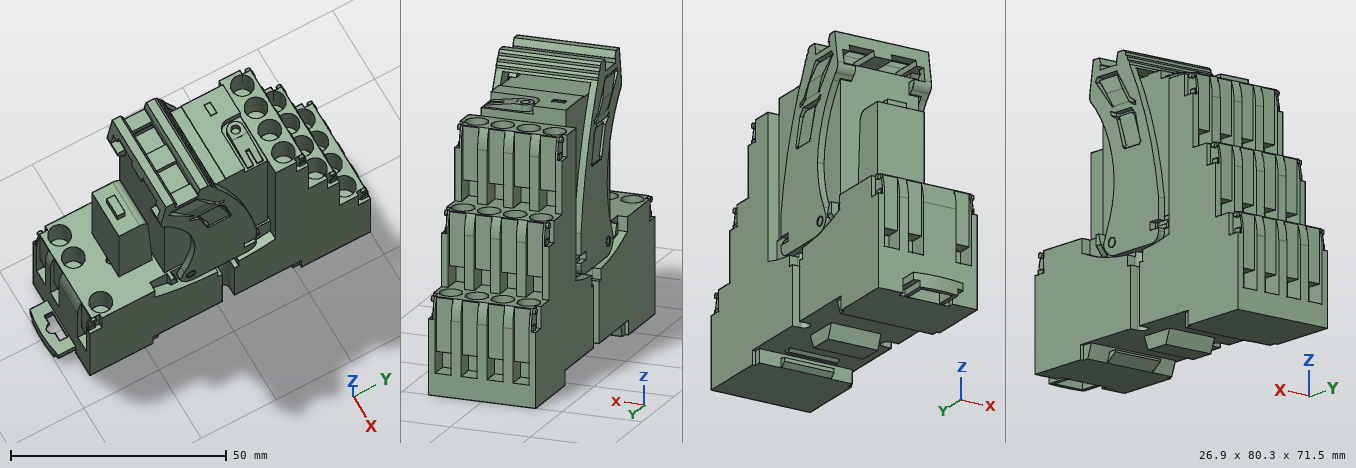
import cadquery as cq


WIDTH = 26.9
HALF_WIDTH = WIDTH / 2
LENGTH = 74.85
DECK_Z = 29.1
TIER_RISE = 18.45
TIER_RUN = 8.3
LOW_TIER_TOP = 24.0
TIER_TOPS = [LOW_TIER_TOP + i * TIER_RISE for i in range(3)]
TIER_FACES = [LENGTH - i * TIER_RUN for i in range(3)]
TOWER_FRONT = 49.5
BRIDGE_TOP = 35.45
BRIDGE_HALF = 8.0
ROUND_INSET = 1.05
ROUND_HEIGHT = 5.1

RAIL_Z = 3.6
RAIL_FRONT = 16.85
RAIL_REAR = 56.4
FOOT_WIDTH = 13.5
TAB_OPENING = 1.6
BLOCK_HALF = 12.6

PITCH = 6.5
TERMINAL_X = [(i - 1.5) * PITCH for i in range(4)]
FRONT_TERMINAL_X = [TERMINAL_X[0], TERMINAL_X[1], TERMINAL_X[3]]
SCREW_DIAMETER = 5.45
SCREW_DEPTH = 8.0
FRONT_SCREW_INSET = 5.0
TIER_SCREW_INSETS = [5.0, 4.4, 4.65]
SLOT_WIDTH = 4.1
SLOT_DEPTH = 1.2
ENTRY_HEIGHT = 5.05
ENTRY_DEPTH = 6.0

LATCH_X = 1.1
LATCH_Y = 4.0
LATCH_Z = 5.4
LATCH_RELIEF = 0.4

CLIP_HALF = 12.75
CLIP_INNER = 11.0
CLIP_BOTTOM = 22.8
ARM_REAR = 44.8
BAR_Z = 67.0
WEB_Z = 68.5
CLIP_TOP = 71.5
GRIP_STEPS = 3
LUG_Z = (26.1, 28.1)
HOOK_INNER = 7.95
HOOK_BOTTOM = 60.1
HOOK_TOP = 63.2

ROD_X = HALF_WIDTH - 2.1
ROD_Y = 36.9
ROD_RADIUS = 1.6
COLLAR_RADIUS = 2.8
COLLAR_Z = 18.9

RELAY_X = -0.1
RELAY_WIDTH = 21.2
RELAY_FRONT = 21.5
RELAY_REAR = 49.0
RELAY_TOP = 64.7
RELAY_STEP = 0.3
RELAY_STEP_Y = 37.9


def box(x, y, z):
    """Block from (min, max) pairs along each axis."""
    size = [pair[1] - pair[0] for pair in (x, y, z)]
    return cq.Workplane("XY").box(*size, centered=False).translate((x[0], y[0], z[0]))


def across(sketch, x_min, x_max):
    """Extrude a closed Y-Z outline between two X positions."""
    return sketch.extrude(x_max - x_min).translate((x_min, 0, 0))


def plate(points, x_min, x_max):
    """Extrude a Y-Z polygon between two X positions."""
    return across(cq.Workplane("YZ").polyline(points).close(), x_min, x_max)


def rod_x(y, z, radius, x_min, x_max):
    """Cylinder along X."""
    return across(cq.Workplane("YZ").center(y, z).circle(radius), x_min, x_max)


def rod_z(x, y, radius, z_min, z_max):
    """Cylinder along Z."""
    return cq.Workplane("XY").center(x, y).circle(radius).extrude(z_max - z_min).translate((0, 0, z_min))


def both_sides(body):
    """A body together with its mirror image across the middle plane."""
    return body.union(body.mirror("YZ"))


def shoulder_middle(face, inward, top):
    """Point part way round the shoulder between a terminal face and its top."""
    return face + inward * ROUND_INSET * 0.35, top - ROUND_HEIGHT * 0.4


def housing_block():
    """Stepped body, with a rounded shoulder above every terminal face."""
    outline = cq.Workplane("YZ").moveTo(0, 0).lineTo(0, DECK_Z - ROUND_HEIGHT)
    outline = outline.threePointArc(shoulder_middle(0, 1, DECK_Z), (ROUND_INSET, DECK_Z))
    outline = outline.lineTo(TOWER_FRONT, DECK_Z).lineTo(TOWER_FRONT, TIER_TOPS[-1])
    for face, top in zip(reversed(TIER_FACES), reversed(TIER_TOPS)):
        outline = outline.lineTo(face - ROUND_INSET, top)
        outline = outline.threePointArc(shoulder_middle(face, -1, top), (face, top - ROUND_HEIGHT))
        if top > TIER_TOPS[0]:
            outline = outline.lineTo(face, top - TIER_RISE)
    outline = outline.lineTo(LENGTH, 0).lineTo(RAIL_REAR, 0).lineTo(RAIL_REAR, RAIL_Z)
    outline = outline.lineTo(RAIL_FRONT, RAIL_Z).lineTo(RAIL_FRONT, 0).close()
    return across(outline, -HALF_WIDTH, HALF_WIDTH)


def wire_slots(face, inward, top, positions):
    """Shallow slots in a terminal face, each ending in a deep wire entry."""
    bottom = top - TIER_RISE
    slots = cq.Workplane("XY")
    for x in positions:
        sides = (x - SLOT_WIDTH / 2, x + SLOT_WIDTH / 2)
        for depth, height in ((SLOT_DEPTH, TIER_RISE), (ENTRY_DEPTH, ENTRY_HEIGHT)):
            reach = sorted((face - inward, face + inward * depth))
            slots = slots.union(box(sides, reach, (bottom, bottom + height)))
    return slots


def screw_holes(y, top, positions):
    """Row of blind screw wells."""
    holes = cq.Workplane("XY")
    for x in positions:
        holes = holes.union(rod_z(x, y, SCREW_DIAMETER / 2, top - SCREW_DEPTH, top))
    return holes


def latch_pockets(face, inward, top):
    """Corner pockets on both sides, each keeping a round peg and a small block."""
    def reach(start, end):
        return sorted((face + inward * start, face + inward * end))

    floor = HALF_WIDTH - LATCH_X
    outer = HALF_WIDTH - LATCH_RELIEF
    bottom = top - LATCH_Z
    peg_radius = 0.65
    peg_inset = 1.8
    peg_drop = 0.7
    block_height = 1.4
    block_relief = 0.3
    pocket = box((floor, HALF_WIDTH), reach(-1, LATCH_Y), (bottom, top))
    peg = rod_x(face + inward * peg_inset, top - peg_drop, peg_radius, floor, outer)
    block = box((floor, floor + block_relief), reach(0.3, 2.5), (bottom, bottom + block_height))
    return both_sides(pocket.cut(peg).cut(block))


def clip_recess():
    """Curved hollow in each side of the housing that receives a clip arm."""
    front = 17.4
    outline = cq.Workplane("YZ").moveTo(TOWER_FRONT, DECK_Z).lineTo(TOWER_FRONT, 23.5)
    outline = outline.threePointArc((ROD_Y, 21.6), (front, 25.5)).lineTo(front, DECK_Z).close()
    return both_sides(across(outline, CLIP_INNER, HALF_WIDTH))


def recess_details():
    """Stop rib in front of each clip arm and latch lug behind it."""
    rib_front = 22.0
    rib_rear = 23.75
    rib_outer = CLIP_INNER + 1.9
    rib_bottom = 23.9
    taper_top = 26.4
    rib = plate([(rib_front, DECK_Z), (rib_front, rib_bottom), (rib_rear, rib_bottom),
                 (rib_rear, taper_top), (22.9, DECK_Z)], CLIP_INNER, rib_outer)
    taper = cq.Workplane("XZ").polyline([
        (CLIP_INNER, rib_bottom), (rib_outer, rib_bottom), (rib_outer, taper_top)])
    taper = taper.close().extrude(-rib_rear)

    lug_front = 42.7
    lug_length = 3.6
    lug_outer = CLIP_INNER + 0.6
    lug_bottom, lug_top = LUG_Z
    lug = cq.Workplane("XZ").polyline([
        (CLIP_INNER, lug_bottom), (lug_outer, lug_bottom), (lug_outer, 26.95), (CLIP_INNER, lug_top)])
    lug = lug.close().extrude(-lug_length).translate((0, lug_front, 0))
    return both_sides(rib.cut(taper).union(lug))


def rod_grooves():
    """Vertical round-bottomed groove with a wider collar seat in each side."""
    grooves = cq.Workplane("XY")
    for radius, bottom in ((ROD_RADIUS, 0), (COLLAR_RADIUS, COLLAR_Z)):
        mouth = box((ROD_X, HALF_WIDTH), (ROD_Y - radius, ROD_Y + radius), (bottom, CLIP_BOTTOM))
        grooves = grooves.union(mouth).union(rod_z(ROD_X, ROD_Y, radius, bottom, CLIP_BOTTOM))
    return both_sides(grooves)


def rail_foot():
    """Rail hooks, centre pad and locating bump below the housing."""
    stop_y = 54.55
    front_toe = 18.45
    rear_block = [(RAIL_REAR, RAIL_Z), (stop_y, RAIL_Z), (stop_y, 0), (RAIL_REAR, 0)]
    rear_hook = [(stop_y, 2.4), (53.0, 2.1), (53.0, 1.1), (54.3, 0), (stop_y, 0)]
    front_block = [(RAIL_FRONT, RAIL_Z), (19.8, RAIL_Z), (front_toe, 0), (RAIL_FRONT, 0)]
    front_hook = [(front_toe, 2.6), (21.6, 2.6), (21.5, 2.1), (front_toe, 0)]
    pad = [(41.5, RAIL_Z), (40.0, 0), (33.5, 0), (32.1, RAIL_Z)]
    bump = [(52.95, RAIL_Z), (52.15, 2.9), (51.35, 2.9), (50.5, RAIL_Z)]
    foot = cq.Workplane("XY")
    for outline in (rear_hook, front_hook, pad, bump):
        foot = foot.union(plate(outline, -FOOT_WIDTH / 2, FOOT_WIDTH / 2))
    for outline in (rear_block, front_block):
        foot = foot.union(plate(outline, -BLOCK_HALF, BLOCK_HALF))
    return foot


def release_tab():
    """Pull tab of the rail latch: bowed front edge and a keyed opening."""
    tip = -5.4
    corner = -4.65
    lip_z = 1.8
    bottom = 0.2
    half = FOOT_WIDTH / 2

    outline = cq.Workplane("XY").moveTo(-half, TAB_OPENING).lineTo(-half, corner)
    outline = outline.threePointArc((0, tip), (half, corner)).lineTo(half, TAB_OPENING).close()
    tab = outline.extrude(RAIL_Z - bottom).translate((0, 0, bottom))
    skirt_half = half - 1.5
    hollow_half = 4.2
    hollow_front = -4.2
    hollow_top = 2.8
    hollow = box((-hollow_half, hollow_half), (hollow_front, TAB_OPENING), (bottom, hollow_top))
    tab = tab.cut(hollow)
    for side in ((-half, -skirt_half), (skirt_half, half)):
        tab = tab.cut(box(side, (tip, TAB_OPENING), (bottom, lip_z)))
    slot = box((-3.7, 3.7), (-2.5, -0.4), (0, RAIL_Z))
    key = rod_z(0, -2.5, 1.4, 0, RAIL_Z)
    return tab.cut(slot).cut(key)


def tab_opening():
    """Opening in the front face below the release tab."""
    return box((-FOOT_WIDTH / 2, FOOT_WIDTH / 2), (0, TAB_OPENING), (0, RAIL_Z))


def test_hole():
    """Small blind hole in the deck, mostly under the module."""
    depth = 2.4
    return rod_z(1.5, 12.35, 1.1, DECK_Z - depth, DECK_Z)


def housing():
    """Complete socket body with its rail foot and release tab."""
    body = housing_block()
    body = body.cut(wire_slots(0, 0.8, DECK_Z, FRONT_TERMINAL_X))
    body = body.cut(screw_holes(FRONT_SCREW_INSET, DECK_Z, FRONT_TERMINAL_X))
    body = body.cut(latch_pockets(0, 0.8, DECK_Z))
    for face, top, inset in zip(TIER_FACES, TIER_TOPS, TIER_SCREW_INSETS):
        body = body.cut(wire_slots(face, -0.8, top, TERMINAL_X))
        body = body.cut(screw_holes(face - inset, top, TERMINAL_X))
        body = body.cut(latch_pockets(face, -0.8, top))
    body = body.cut(clip_recess()).cut(rod_grooves()).cut(test_hole()).cut(tab_opening())
    bridge = box((-BRIDGE_HALF, BRIDGE_HALF), (RELAY_REAR, TOWER_FRONT), (DECK_Z, BRIDGE_TOP))
    return body.union(bridge).union(recess_details()).union(rail_foot()).union(release_tab())


def relay():
    """Relay case with a test lever sunk into its top."""
    left = RELAY_X - RELAY_WIDTH / 2
    right = RELAY_X + RELAY_WIDTH / 2
    case = box((left, right), (RELAY_FRONT, RELAY_REAR), (DECK_Z, RELAY_TOP))
    case = case.cut(box((left, right), (RELAY_FRONT, RELAY_STEP_Y), (RELAY_TOP - RELAY_STEP, RELAY_TOP)))

    well_floor = RELAY_TOP - 2.0
    lever_top = RELAY_TOP - RELAY_STEP
    well_corner = 2.6
    well = box((-2.4, right), (42.9, RELAY_REAR), (well_floor, RELAY_TOP))
    well = well.edges("|Z and <X and <Y").fillet(well_corner)

    lever_x = 0.65
    lever_y = 46.05
    lever_radius = 2.1
    lever_end = 10.0
    arm_start = 2.65
    arm_y = (lever_y - lever_radius, lever_y + lever_radius)
    lever = rod_z(lever_x, lever_y, lever_radius, well_floor, lever_top)
    lever = lever.union(box((lever_x, arm_start), arm_y, (well_floor, lever_top)))
    arm_drop = 1.3
    arm = cq.Workplane("XZ").polyline([(arm_start, well_floor), (arm_start, lever_top),
                                       (lever_end, lever_top - arm_drop), (lever_end, well_floor)])
    arm = arm.close().extrude(-2 * lever_radius).translate((0, arm_y[0], 0))
    grip = box((6.2, lever_end), (45.6, 46.5), (well_floor, RELAY_TOP))
    lever = lever.union(arm).cut(grip)

    pivot_radius = 1.1
    window_depth = 0.25
    pivot = rod_z(lever_x, lever_y, pivot_radius, well_floor, RELAY_TOP)
    window = box((-8.3, -5.1), (42.7, 44.3), (RELAY_TOP - window_depth, RELAY_TOP))
    return case.cut(well).union(lever).cut(pivot).cut(window)


def module():
    """Plug-in module with a rounded rear top edge and a pull knob."""
    x_mid = -0.2
    width = 12.75
    front = 11.8
    top = 52.1
    outline = cq.Workplane("YZ").moveTo(front, DECK_Z).lineTo(front, top).lineTo(17.3, top)
    outline = outline.threePointArc((18.85, 51.4), (19.6, 49.65)).lineTo(20.7, DECK_Z).close()
    body = across(outline, x_mid - width / 2, x_mid + width / 2)
    knob_width = 5.05
    knob = box((x_mid - knob_width / 2, x_mid + knob_width / 2), (13.55, 15.65), (top, 54.1))
    return body.union(knob)


def clip_outline():
    """Side outline of the clip, with finger steps on the rear of its top."""
    grip_top = (31.9, CLIP_TOP)
    grip_bottom = (34.1, 67.6)
    run = (grip_bottom[0] - grip_top[0]) / GRIP_STEPS
    drop = (grip_top[1] - grip_bottom[1]) / GRIP_STEPS
    nose_bottom = (RELAY_FRONT, 59.5)
    outline = cq.Workplane("YZ").moveTo(42.2, CLIP_BOTTOM).lineTo(29.2, CLIP_BOTTOM)
    outline = outline.threePointArc((25.7, 24.0), (24.5, 26.15)).lineTo(25.6, DECK_Z)
    outline = outline.threePointArc((27.7, 34.9), (28.4, 41.2)).threePointArc((26.4, 50.9), nose_bottom)
    outline = outline.lineTo(20.3, 60.9).threePointArc((19.5, 61.9), (19.4, 63.5)).lineTo(20.7, CLIP_TOP)
    outline = outline.lineTo(22.9, CLIP_TOP).lineTo(23.7, 69.7).lineTo(23.2, 69.7).lineTo(23.2, WEB_Z)
    outline = outline.lineTo(29.3, WEB_Z).lineTo(29.3, 69.9).lineTo(29.8, CLIP_TOP).lineTo(*grip_top)
    for step in range(1, GRIP_STEPS + 1):
        y = grip_top[0] + step * run
        z = grip_top[1] - step * drop
        outline = outline.lineTo(y, z + drop / 2).lineTo(y, z)
    outline = outline.threePointArc((40.75, 51.6), (ARM_REAR, 33.45)).lineTo(ARM_REAR, 25.35)
    return outline.threePointArc((44.05, 23.6), (42.2, CLIP_BOTTOM)).close()


def upper_finger():
    """Opening in each clip arm and the bent finger that reaches over the relay."""
    opening = plate([(36.2, 57.6), (36.2, 58.5), (34.3, 59.5), (31.0, 64.6), (29.3, BAR_Z), (22.2, BAR_Z),
                     (21.5, 65.95), (27.7, 58.7), (33.9, 58.7), (35.2, 57.8)], CLIP_INNER, CLIP_HALF)
    finger_foot = 58.7
    finger_top = 66.2
    bend_z = 62.25
    bend_bulge = 0.25
    finger = plate([(33.9, finger_foot), (31.8, bend_z), (29.0, finger_top), (22.5, finger_top),
                    (25.8, bend_z), (28.1, finger_foot)], HOOK_INNER, HALF_WIDTH)
    tip_x = 9.2
    tip_bottom = RELAY_TOP - RELAY_STEP
    bend = cq.Workplane("XZ").polyline([
        (CLIP_HALF, finger_foot), (CLIP_HALF + bend_bulge, bend_z), (12.35, finger_top), (tip_x, finger_top),
        (tip_x, tip_bottom), (CLIP_INNER, tip_bottom), (CLIP_INNER, finger_foot)])
    bend = bend.close().extrude(-LENGTH)
    return both_sides(opening), both_sides(finger.intersect(bend))


def lower_finger():
    """Slit around the lower finger of each arm, and the shallow sink of its face."""
    slit = plate([(38.1, 48.2), (36.25, 55.4), (34.7, 57.1), (28.4, 57.1), (27.0, 57.75), (27.3, 56.7),
                  (29.45, 55.4), (31.7, 48.2), (32.3, 48.6), (29.8, 56.1), (34.5, 56.1), (35.45, 55.1),
                  (37.6, 48.6)], CLIP_INNER, CLIP_HALF)
    sink_depth = 0.4
    sink = plate([(38.1, 48.4), (37.6, 47.7), (32.1, 47.7), (31.7, 48.4), (29.6, 56.15), (34.6, 56.15),
                  (35.6, 55.1)], CLIP_HALF - sink_depth, CLIP_HALF)
    return both_sides(slit.union(sink))


def clip():
    """Retaining clip: two arms, the grip bar joining them and the relay hooks."""
    profile = across(clip_outline(), -CLIP_HALF, CLIP_HALF)
    body = profile.cut(box((-CLIP_INNER, CLIP_INNER), (0, LENGTH), (0, BAR_Z)))

    hook = box((HOOK_INNER, CLIP_HALF), (0, RELAY_FRONT), (HOOK_BOTTOM, HOOK_TOP))
    body = body.union(profile.intersect(both_sides(hook)))

    bar_window = box((2.4, 9.1), (0, 29.3), (BAR_Z, WEB_Z))
    latch_window = box((CLIP_INNER, CLIP_HALF), (41.55, ARM_REAR), LUG_Z)
    pin_depth = 0.25
    pin_mark = rod_x(27.4, 26.15, 1.2, CLIP_HALF - pin_depth, CLIP_HALF)
    for cutter in (bar_window, latch_window, pin_mark):
        body = body.cut(both_sides(cutter))

    opening, finger = upper_finger()
    return body.cut(opening).union(finger).cut(lower_finger())


result = housing().union(relay()).union(module()).union(clip())